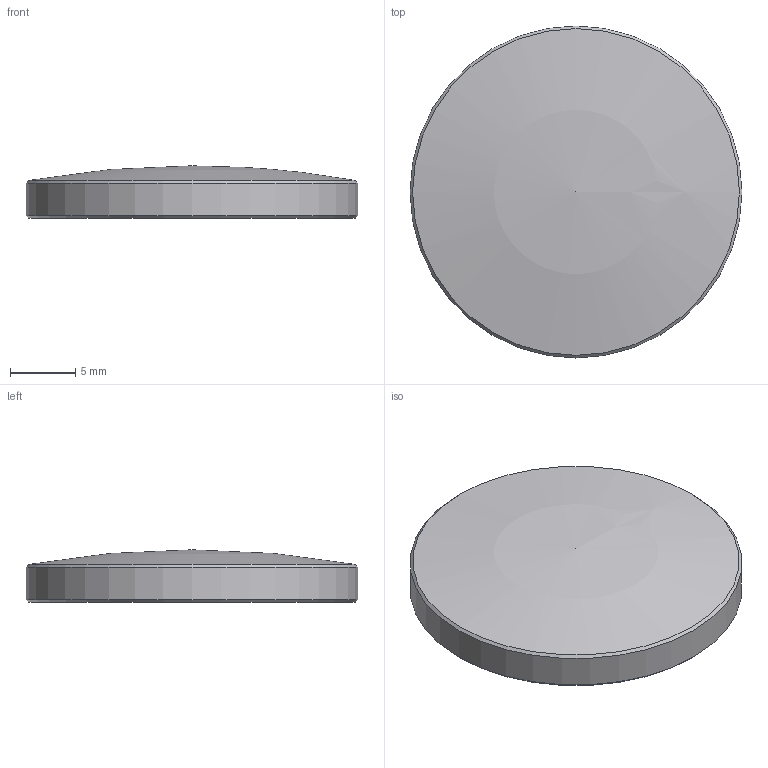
import cadquery as cq

diameter = 25.4
centre_thickness = 4.0
dome_height = 1.12
bevel = 0.2

radius = diameter / 2
face_radius = radius - bevel
rim_height = centre_thickness - dome_height

sphere_radius = (face_radius**2 + dome_height**2) / (2 * dome_height)


def dome_z(distance):
    """Height of the spherical face at a given distance from the optical axis."""
    sphere_centre = centre_thickness - sphere_radius
    return sphere_centre + (sphere_radius**2 - distance**2) ** 0.5


def half_section():
    """Closed half profile of the lens in the XZ plane, from the axis outwards."""
    mid_distance = face_radius / 2
    return (
        cq.Workplane("XZ")
        .moveTo(0, 0)
        .lineTo(face_radius, 0)
        .lineTo(radius, bevel)
        .lineTo(radius, rim_height - bevel)
        .lineTo(face_radius, rim_height)
        .threePointArc((mid_distance, dome_z(mid_distance)), (0, centre_thickness))
        .close()
    )


result = half_section().revolve(360, (0, 0, 0), (0, 1, 0))